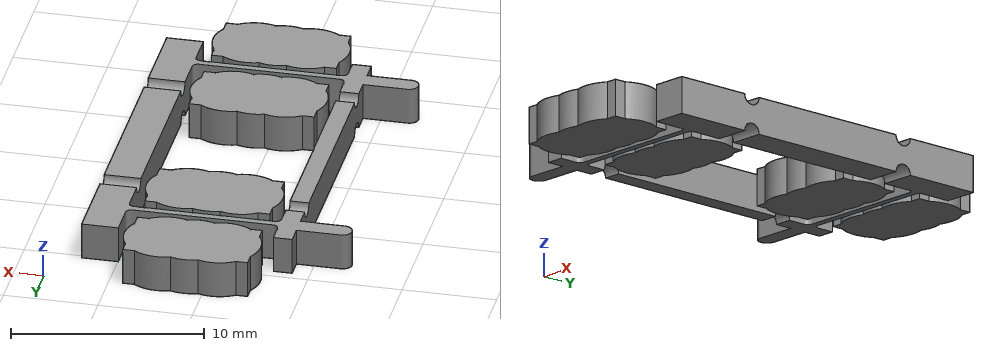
import cadquery as cq

thickness = 2.0

rail_gap = 8.05
narrow_rail_width = 1.0
narrow_rail_length = 19.0
wide_rail_width = 1.95
wide_rail_length = 20.45
web_offset = 8.0
web_width = 0.38
web_fillet = 0.3

tab_reach = 2.85
tab_width = 1.0

groove_radius = 0.5
narrow_groove_offset = 6.0
wide_groove_offset = 5.3

disc_radius = 2.15
disc_spacing = 1.45
pad_core_length = 6.6
pad_core_width = 3.54
pad_to_web = 2.66

narrow_rail_x = -(rail_gap + narrow_rail_width) / 2
wide_rail_x = (rail_gap + wide_rail_width) / 2
SIDES = (-1, 1)


def block(length, width, x, y):
    """Full-thickness block centred on (x, y)."""
    return cq.Workplane("XY").center(x, y).rect(length, width).extrude(thickness)


def make_tab(y):
    """Tab that starts inside the narrow rail and ends in a full round."""
    tip_x = narrow_rail_x - narrow_rail_width / 2 - tab_reach
    round_x = tip_x + tab_width / 2
    tab = block(narrow_rail_x - round_x, tab_width, (narrow_rail_x + round_x) / 2, y)
    tip = cq.Workplane("XY").center(round_x, y).circle(tab_width / 2).extrude(thickness)
    return tab.union(tip)


def fillet_web_corners(frame):
    """Round the inside corners where the webs run into the rails."""
    half_gap = rail_gap / 2
    half_web = web_width / 2
    corners = [
        (x_side * half_gap, web_side * web_offset + edge_side * half_web, thickness / 2)
        for x_side in SIDES
        for web_side in SIDES
        for edge_side in SIDES
    ]
    for corner in corners:
        frame = frame.edges(cq.selectors.NearestToPointSelector(corner)).fillet(web_fillet)
    return frame


def make_grooves(rail_x, rail_width, offset):
    """Cutters for the four half-round grooves across one rail."""
    centres = [(y_side * offset, z) for y_side in SIDES for z in (0, thickness)]
    return (
        cq.Workplane("YZ", origin=(rail_x - rail_width / 2, 0, 0))
        .pushPoints(centres)
        .circle(groove_radius)
        .extrude(rail_width)
    )


def make_frame():
    frame = block(narrow_rail_width, narrow_rail_length, narrow_rail_x, 0)
    frame = frame.union(block(wide_rail_width, wide_rail_length, wide_rail_x, 0))
    for side in SIDES:
        frame = frame.union(block(rail_gap, web_width, 0, side * web_offset))
    frame = fillet_web_corners(frame)
    for side in SIDES:
        frame = frame.union(make_tab(side * web_offset))
    frame = frame.cut(make_grooves(narrow_rail_x, narrow_rail_width, narrow_groove_offset))
    return frame.cut(make_grooves(wide_rail_x, wide_rail_width, wide_groove_offset))


def make_pad(y):
    """Scalloped pad centred on the gap between the rails."""
    pad = block(pad_core_length, pad_core_width, 0, y)
    for x in (-disc_spacing, 0, disc_spacing):
        disc = cq.Workplane("XY").center(x, y).circle(disc_radius).extrude(thickness)
        pad = pad.union(disc)
    return pad


frame = make_frame()

pads = [
    make_pad(web_side * web_offset + pad_side * pad_to_web)
    for web_side in SIDES
    for pad_side in SIDES
]

result = cq.Compound.makeCompound([frame.val(), *[pad.val() for pad in pads]])